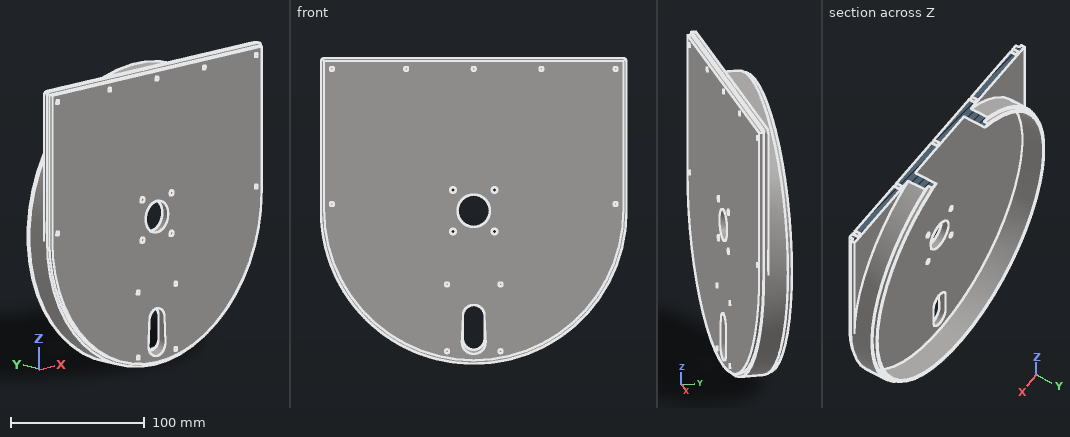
import cadquery as cq

outer_width = 228.6
total_depth = 25.05
outer_radius = outer_width / 2

front_step_depth = 3.175
flange_depth = 3.175
rear_lip_depth = 3.5
plate_depth = front_step_depth + flange_depth
ring_end = total_depth - rear_lip_depth

front_step_inset = 2.5
front_step_radius = outer_radius - front_step_inset
flange_corner_radius = 3.175
rear_lip_diameter = 225.43
cavity_diameter = 222.25

shaft_hole_diameter = 24.0
motor_bolt_diameter = 4.0
motor_bolt_pitch = 31.0

screw_hole_diameter = 3.0
screw_hole_depth = 5.0
edge_screw_offset = 106.0
middle_screw_x = 50.5
side_screw_z = 5.0
slot_screw_x = 20.0
slot_screw_heights = (-55.0, -105.0)

slot_top_radius = 8.0
slot_top_z = -78.5
slot_front_radius = 9.0
slot_front_z = -98.0
slot_back_z = -95.8


def xz_plane(depth):
    """Sketch plane at Y = depth with X and Z axes; negative extrusions go towards +Y."""
    return cq.Workplane("XZ", origin=(0, depth, 0))


def disc(diameter, start, end):
    """Round disc between two Y positions."""
    return xz_plane(start).circle(diameter / 2).extrude(start - end)


def drilled(points, diameter, depth):
    """Cylinders that cut round holes from the front face."""
    return xz_plane(0).pushPoints(points).circle(diameter / 2).extrude(-depth)


def square_top(half_width, start, depth):
    """Rectangular block that squares off the upper half of a disc."""
    return xz_plane(start).center(0, half_width / 2).rect(2 * half_width, half_width).extrude(-depth)


def body():
    """Plate with a square top and a half-round bottom, stepped at the front, with a thin ring behind it."""
    ring = disc(outer_width, front_step_depth, ring_end)
    flange = square_top(outer_radius, front_step_depth, flange_depth)
    flange = flange.edges("|Y and >Z").fillet(flange_corner_radius)
    front_step = disc(2 * front_step_radius, 0, front_step_depth)
    front_step = front_step.union(square_top(front_step_radius, 0, front_step_depth))
    rear_lip = disc(rear_lip_diameter, ring_end, total_depth)
    cavity = disc(cavity_diameter, plate_depth, total_depth)
    return ring.union(flange).union(front_step).union(rear_lip).cut(cavity)


def slot_section(workplane, bottom_radius, bottom_z):
    """Closed slot outline with different radii at its top and bottom ends."""
    return (
        workplane.moveTo(-slot_top_radius, slot_top_z)
        .threePointArc((0, slot_top_z + slot_top_radius), (slot_top_radius, slot_top_z))
        .lineTo(bottom_radius, bottom_z)
        .threePointArc((0, bottom_z - bottom_radius), (-bottom_radius, bottom_z))
        .close()
    )


def slot():
    """Tapered slot lofted from the front face to the back of the plate."""
    front = slot_section(xz_plane(0), slot_front_radius, slot_front_z)
    both = slot_section(front.workplane(offset=-plate_depth), slot_top_radius, slot_back_z)
    return both.loft(ruled=True)


def screw_points():
    """Centres of the blind screw holes."""
    points = [(0, edge_screw_offset)]
    for side in (-1, 1):
        points.append((side * middle_screw_x, edge_screw_offset))
        points.append((side * edge_screw_offset, edge_screw_offset))
        points.append((side * edge_screw_offset, side_screw_z))
        for height in slot_screw_heights:
            points.append((side * slot_screw_x, height))
    return points


half_pitch = motor_bolt_pitch / 2
motor_bolt_points = [(x, z) for x in (-half_pitch, half_pitch) for z in (-half_pitch, half_pitch)]

result = (
    body()
    .cut(drilled([(0, 0)], shaft_hole_diameter, plate_depth))
    .cut(drilled(motor_bolt_points, motor_bolt_diameter, plate_depth))
    .cut(drilled(screw_points(), screw_hole_diameter, screw_hole_depth))
    .cut(slot())
)